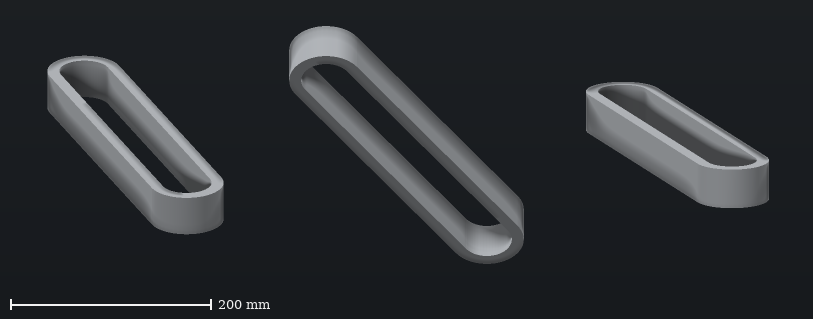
import cadquery as cq

length = 363.0
width = 74.0
height = 40.0
wall = 12.0

outer = cq.Workplane("XY").slot2D(length, width).extrude(height)
opening = cq.Workplane("XY").slot2D(length - 2 * wall, width - 2 * wall).extrude(height)

result = outer.cut(opening)